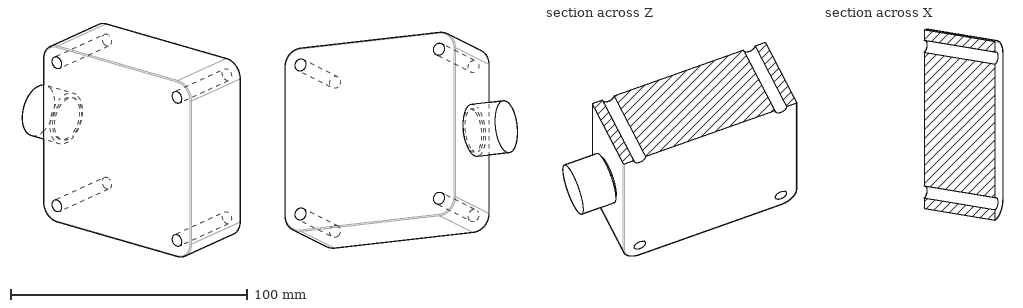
import cadquery as cq

HOUSING_SIDE = 80.0
HOUSING_DEPTH = 34.0
CORNER_RADIUS = 7.5
EDGE_FILLET = 0.5

HOLE_DIAMETER = 5.2
HOLE_SPACING = HOUSING_SIDE - 2 * CORNER_RADIUS

TOTAL_LENGTH = 96.0
PLUG_DIAMETER = 22.2
PLUG_LENGTH = 15.0
NECK_DIAMETER = 18.5
NECK_LENGTH = TOTAL_LENGTH - HOUSING_SIDE - PLUG_LENGTH


def make_housing():
    """Rounded square box, centred on the origin, with softly rounded front and back rims."""
    return (
        cq.Workplane("XY")
        .box(HOUSING_SIDE, HOUSING_DEPTH, HOUSING_SIDE)
        .edges("|Y")
        .fillet(CORNER_RADIUS)
        .faces("<Y or >Y")
        .edges()
        .fillet(EDGE_FILLET)
    )


def make_mounting_holes():
    """Four cylinders running through the full depth of the housing."""
    return (
        cq.Workplane("XZ")
        .rect(HOLE_SPACING, HOLE_SPACING, forConstruction=True)
        .vertices()
        .circle(HOLE_DIAMETER / 2)
        .extrude(HOUSING_DEPTH / 2, both=True)
    )


def make_rod(start_x, diameter, length):
    """Cylinder about the X axis, running from start_x towards -X."""
    return cq.Workplane("YZ", origin=(start_x, 0, 0)).circle(diameter / 2).extrude(-length)


def make_connector():
    """Neck and plug projecting from the middle of the -X side."""
    neck_start = -HOUSING_SIDE / 2
    plug_start = neck_start - NECK_LENGTH
    neck = make_rod(neck_start, NECK_DIAMETER, NECK_LENGTH)
    plug = make_rod(plug_start, PLUG_DIAMETER, PLUG_LENGTH)
    return neck.union(plug)


result = make_housing().cut(make_mounting_holes()).union(make_connector())